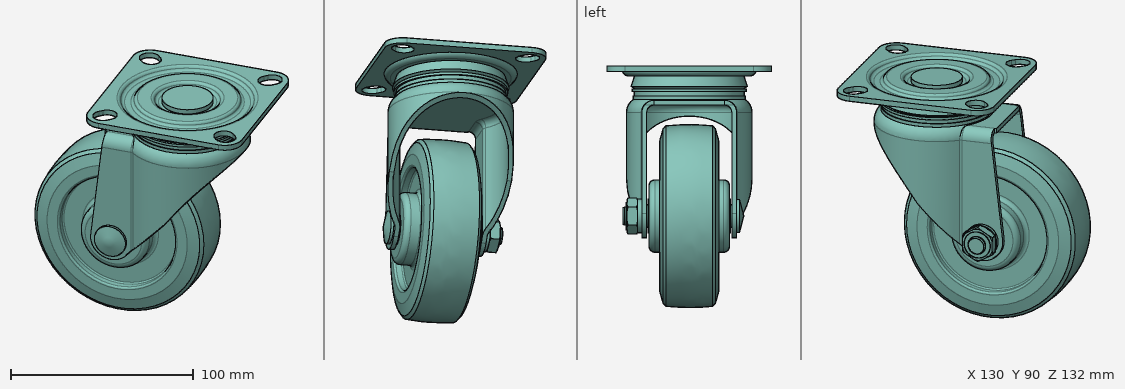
import cadquery as cq
import math

overall_height = 132.0

wheel_radius = 50.0
wheel_half_width = 16.2
tread_edge_radius = 49.4
tread_half_width = 12.8
shoulder_radius = 47.5
shoulder_half_width = 14.4
side_face_radius = 40.9
recess_wall_radius = 33.8
recess_edge_round = 1.2
recess_floor_round = 0.8
recess_outer_radius = recess_wall_radius + recess_edge_round
recess_depth = 5.1
hub_radius = 19.8
hub_half_width = 22.0
hub_edge_round = 3.3
hub_root_round = 2.4
bearing_radius = 9.4
bearing_half_width = 22.5
spacer_radius = 6.2

trail = 35.0
axle_x = -trail
axle_z = wheel_radius - overall_height
bolt_radius = 5.0
bolt_tip_radius = 4.5
bolt_tip_length = 1.0
bolt_end = 36.3
bolt_head_radius = 9.1
bolt_head_rim = 1.6
bolt_head_cone = 2.4
washer_radius = 9.2
washer_thickness = 2.4
nut_corner_radius = 9.9
nut_outer_y = 33.9
nut_edge_drop = 0.9
nut_edge_length = 0.5
nut_collar_radius = 7.5
nut_collar_height = 0.5

sheet = 2.6
fork_top_z = -18.7
dome_radius = 34.3
fork_half_width = 25.9
fold_radius = 6.6
leg_corner_round = 2.1
leg_front_x = -39.9
lip_length = 1.2
leg_end_radius = 11.9
skirt_rim_z = fork_top_z - fold_radius
skirt_arc_middle = (16.5, -41.5)
skirt_arc_end = (-0.5, -61.9)
race_radius = 31.2
race_bottom_z = -14.0
neck_radius = 30.1
neck_bottom_z = -16.4
collar_radius = 30.6
collar_bottom_z = -18.3

plate_side = 90.0
plate_thickness = 3.0
plate_corner = 10.0
slot_width = 11.0
slot_centre_spacing = 2.5
slot_pitch = 70.0
slot_angle = 45
dish_rim_radius = 36.4
dish_bottom_radius = 33.0
dish_bottom_z = -5.5
head_top_radius = 30.0
head_lip_radius = 31.8
head_lip_z = -11.1
head_bottom_radius = 29.7
head_bottom_z = -12.5
groove_depth = 2.6
groove_radii = (38.5, 34.5, 31.0, 27.5)
pin_recess_radius = 19.9
pin_recess_floor_radius = 16.0
pin_recess_depth = 2.6
pin_head_radius = 14.0


def axle_revolve(profile):
    """Revolve a (radius, y) profile, drawn in the XY plane, about the axle."""
    return profile.close().revolve(360, (0, 0, 0), (0, 1, 0)).translate((axle_x, 0, axle_z))


def axle_cylinder(radius, y_start, y_end):
    """Solid cylinder on the axle between two Y positions."""
    plane = cq.Plane(origin=(axle_x, y_start, axle_z), xDir=(1, 0, 0), normal=(0, 1, 0))
    return cq.Workplane(plane).circle(radius).extrude(y_end - y_start)


def swivel_revolve(profile):
    """Revolve a (radius, z) profile, drawn in the XZ plane, about the swivel axis."""
    return profile.close().revolve(360, (0, 0, 0), (0, 1, 0))


def pressed_wall(profile, start, end):
    """Extend a profile inwards by an S-shaped wall of two arcs, level at both its ends."""
    middle = ((start[0] + end[0]) / 2, (start[1] + end[1]) / 2)
    width = abs(end[0] - start[0]) / 2
    height = (end[1] - start[1]) / 2
    bend = (width**2 + height**2) / (2 * height)
    return profile.radiusArc(middle, bend).radiusArc(end, -bend)


def tangent_point(point, side):
    """Where a line from an (x, z) point touches the round leg end; side is +1 or -1."""
    dx = axle_x - point[0]
    dz = axle_z - point[1]
    distance = math.hypot(dx, dz)
    angle = math.atan2(dz, dx) + side * math.asin(leg_end_radius / distance)
    length = math.sqrt(distance**2 - leg_end_radius**2)
    return (point[0] + length * math.cos(angle), point[1] + length * math.sin(angle))


def make_plate():
    plate = cq.Workplane("XY").rect(plate_side, plate_side).extrude(-plate_thickness)
    plate = plate.edges("|Z").fillet(plate_corner)

    dish_width = dish_rim_radius - dish_bottom_radius
    dish_height = -plate_thickness - dish_bottom_z
    dish_round = (dish_width**2 + dish_height**2) / (2 * dish_height)
    head = (
        cq.Workplane("XZ")
        .moveTo(0, -plate_thickness)
        .lineTo(dish_rim_radius, -plate_thickness)
        .radiusArc((dish_bottom_radius, dish_bottom_z), dish_round)
        .lineTo(head_top_radius, dish_bottom_z)
        .lineTo(head_lip_radius, head_lip_z)
        .lineTo(head_bottom_radius, head_bottom_z)
        .lineTo(0, head_bottom_z)
    )
    plate = plate.union(swivel_revolve(head))

    outer, floor_outer, floor_inner, inner = groove_radii
    ring_groove = cq.Workplane("XZ").moveTo(outer, 0)
    ring_groove = pressed_wall(ring_groove, (outer, 0), (floor_outer, -groove_depth))
    ring_groove = ring_groove.lineTo(floor_inner, -groove_depth)
    ring_groove = pressed_wall(ring_groove, (floor_inner, -groove_depth), (inner, 0))

    pin_recess = cq.Workplane("XZ").moveTo(pin_recess_radius, 0)
    recess_floor = (pin_recess_floor_radius, -pin_recess_depth)
    pin_recess = pressed_wall(pin_recess, (pin_recess_radius, 0), recess_floor)
    pin_recess = pin_recess.lineTo(pin_head_radius, -pin_recess_depth).lineTo(pin_head_radius, 0)
    plate = plate.cut(swivel_revolve(ring_groove)).cut(swivel_revolve(pin_recess))

    for x_side in (-1, 1):
        for y_side in (-1, 1):
            slot = (
                cq.Workplane("XY")
                .center(x_side * slot_pitch / 2, y_side * slot_pitch / 2)
                .slot2D(slot_width + slot_centre_spacing, slot_width, slot_angle * x_side * y_side)
                .extrude(-plate_thickness)
            )
            plate = plate.cut(slot)
    return plate


def fork_blank(inset, corner):
    """Domed block with two flat sides, reaching below the wheel; inset shrinks it all round."""
    radius = dome_radius - inset
    half_width = fork_half_width - inset
    height = overall_height + fork_top_z - inset
    reach = leg_end_radius - leg_front_x
    dome = cq.Workplane("XY").circle(radius).extrude(-height)
    legs = cq.Workplane("XY").center(-reach / 2, 0).rect(reach, 2 * half_width).extrude(-height)
    blank = dome.union(legs)
    meeting_x = -math.sqrt(radius**2 - half_width**2)
    meeting = cq.selectors.BoxSelector(
        (meeting_x - sheet, -radius, -height),
        (meeting_x + sheet, radius, 0),
    )
    blank = blank.edges("|Z").edges(meeting).fillet(corner)
    blank = blank.faces(">Z").edges("not(<X)").fillet(fold_radius - inset)
    return blank.translate((0, 0, fork_top_z - inset))


def fork_crown():
    """Solid that carries the swivel head: bearing race, neck, collar and rounded dome."""
    dome_rise = collar_bottom_z - skirt_rim_z
    dome_run = dome_radius - collar_radius
    dome_round = (dome_rise**2 + dome_run**2) / (2 * dome_run)
    profile = (
        cq.Workplane("XZ")
        .moveTo(0, head_bottom_z)
        .lineTo(race_radius, head_bottom_z)
        .lineTo(race_radius, race_bottom_z)
        .lineTo(neck_radius, race_bottom_z)
        .lineTo(neck_radius, neck_bottom_z)
        .lineTo(collar_radius, neck_bottom_z)
        .lineTo(collar_radius, collar_bottom_z)
        .radiusArc((dome_radius, skirt_rim_z), dome_round)
        .lineTo(0, skirt_rim_z)
    )
    return swivel_revolve(profile)


def fork_outline():
    """Side outline: leaning front edge, round leg end, and the skirt sweeping up to its rim."""
    leg_top = (leg_front_x, fork_top_z - sheet)
    front_touch = tangent_point(leg_top, -1)
    back_touch = tangent_point(skirt_arc_end, 1)
    return (
        cq.Workplane("XZ")
        .moveTo(leg_front_x, head_bottom_z)
        .lineTo(*leg_top)
        .lineTo(*front_touch)
        .threePointArc((axle_x, axle_z - leg_end_radius), back_touch)
        .lineTo(*skirt_arc_end)
        .threePointArc(skirt_arc_middle, (dome_radius, skirt_rim_z))
        .lineTo(dome_radius, head_bottom_z)
        .close()
        .extrude(dome_radius, both=True)
    )


def make_fork():
    outside = fork_blank(0, leg_corner_round).union(fork_crown())
    inside = fork_blank(sheet, leg_corner_round + sheet)
    fork = outside.cut(inside).intersect(fork_outline())

    lip_width = 2 * (fork_half_width - fold_radius)
    lip = cq.Workplane("XY").box(lip_length, lip_width, sheet)
    fork = fork.union(lip.translate((leg_front_x - lip_length / 2, 0, fork_top_z - sheet / 2)))
    return fork.cut(axle_cylinder(bolt_radius, -dome_radius, dome_radius))


def wheel_tread():
    """Crowned tread ring, as deep as the flat sides of the tyre."""
    profile = (
        cq.Workplane("XY")
        .moveTo(recess_outer_radius, -tread_half_width)
        .lineTo(tread_edge_radius, -tread_half_width)
        .threePointArc((wheel_radius, 0), (tread_edge_radius, tread_half_width))
        .lineTo(recess_outer_radius, tread_half_width)
    )
    return axle_revolve(profile)


def wheel_side():
    """Shoulder, recessed web, hub and spacer on the +Y side of the wheel's middle plane."""
    web_y = wheel_half_width - recess_depth
    profile = (
        cq.Workplane("XY")
        .moveTo(bolt_radius, 0)
        .lineTo(recess_outer_radius, 0)
        .lineTo(recess_outer_radius, tread_half_width)
        .lineTo(tread_edge_radius, tread_half_width)
        .lineTo(shoulder_radius, shoulder_half_width)
        .lineTo(side_face_radius, wheel_half_width)
        .lineTo(recess_outer_radius, wheel_half_width)
        .radiusArc((recess_wall_radius, wheel_half_width - recess_edge_round), -recess_edge_round)
        .lineTo(recess_wall_radius, web_y + recess_floor_round)
        .radiusArc((recess_wall_radius - recess_floor_round, web_y), recess_floor_round)
        .lineTo(hub_radius + hub_root_round, web_y)
        .radiusArc((hub_radius, web_y + hub_root_round), hub_root_round)
        .lineTo(hub_radius, hub_half_width - hub_edge_round)
        .radiusArc((hub_radius - hub_edge_round, hub_half_width), -hub_edge_round)
        .lineTo(bearing_radius, hub_half_width)
        .lineTo(bearing_radius, bearing_half_width)
        .lineTo(spacer_radius, bearing_half_width)
        .lineTo(spacer_radius, fork_half_width - sheet)
        .lineTo(bolt_radius, fork_half_width - sheet)
    )
    return axle_revolve(profile)


def make_wheel():
    side = wheel_side()
    return wheel_tread().union(side).union(side.mirror("XZ"))


def make_bolt():
    head_y = -fork_half_width - bolt_head_rim
    shank_end = bolt_end - bolt_tip_length
    profile = (
        cq.Workplane("XY")
        .moveTo(0, bolt_end)
        .lineTo(bolt_tip_radius, bolt_end)
        .lineTo(bolt_radius, shank_end)
        .lineTo(bolt_radius, -fork_half_width)
        .lineTo(bolt_head_radius, -fork_half_width)
        .lineTo(bolt_head_radius, head_y)
        .lineTo(0, head_y - bolt_head_cone)
    )
    return axle_revolve(profile)


def make_nut():
    hex_y = fork_half_width + washer_thickness
    washer = axle_cylinder(washer_radius, fork_half_width, hex_y)
    plane = cq.Plane(origin=(axle_x, hex_y, axle_z), xDir=(0, 0, 1), normal=(0, 1, 0))
    hexagon = cq.Workplane(plane).polygon(6, 2 * nut_corner_radius).extrude(nut_outer_y - hex_y)
    barrel = axle_cylinder(nut_corner_radius, hex_y, nut_outer_y)
    barrel = barrel.faces("<Y or >Y").chamfer(nut_edge_length, nut_edge_drop)
    collar = axle_cylinder(nut_collar_radius, nut_outer_y, nut_outer_y + nut_collar_height)
    nut = hexagon.intersect(barrel).union(washer).union(collar)
    return nut.cut(axle_cylinder(bolt_radius, fork_half_width, bolt_end))


plate = make_plate().solids()
fork = make_fork().solids()
wheel = make_wheel().solids()
bolt = make_bolt().solids()
nut = make_nut().solids()
result = cq.Compound.makeCompound([plate.val(), fork.val(), wheel.val(), bolt.val(), nut.val()])